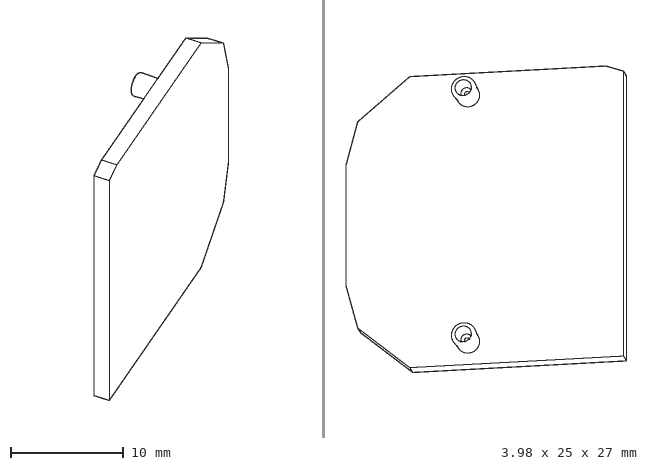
import cadquery as cq

plate_thickness = 1.5
width = 25.0
height = 27.0

bevel_length = 5.75
bevel_inset = 1.05
bevel_mid_drop = 3.95
bevel_end_drop = 7.9

corner_length = 1.6
corner_drop = 0.57

pin_length = 2.48
pin_y = 13.99
pin_edge_distance = 2.08
pin_base_radius = 1.03
pin_tip_radius = 1.1
tip_round = 0.3
bore_mouth_radius = 0.73
bore_inner_radius = 0.49
bore_floor_radius = 0.22
bore_depth = 1.62
bore_cone_depth = 0.27


def make_plate():
    outline = [
        (0, 0),
        (width - bevel_length, 0),
        (width - bevel_inset, bevel_mid_drop),
        (width, bevel_end_drop),
        (width, height - bevel_end_drop),
        (width - bevel_inset, height - bevel_mid_drop),
        (width - bevel_length, height),
        (corner_length, height),
        (0, height - corner_drop),
    ]
    return cq.Workplane("YZ").polyline(outline).close().extrude(plate_thickness)


def make_pin(z):
    """Revolve a pin that widens toward its rounded, hollow tip."""
    bore_end = bore_depth - pin_length
    round_start = tip_round - pin_length
    lip_radius = pin_tip_radius - tip_round
    profile = (
        cq.Workplane("XY")
        .moveTo(0, 0)
        .lineTo(0, pin_base_radius)
        .lineTo(round_start, pin_tip_radius)
        .radiusArc((-pin_length, lip_radius), -tip_round)
        .lineTo(-pin_length, bore_mouth_radius)
        .lineTo(bore_end, bore_inner_radius)
        .lineTo(bore_end + bore_cone_depth, bore_floor_radius)
        .lineTo(bore_end + bore_cone_depth, 0)
        .close()
    )
    pin = profile.revolve(360, (0, 0, 0), (1, 0, 0))
    return pin.translate((0, pin_y, z))


result = make_plate()
for pin_z in (pin_edge_distance, height - pin_edge_distance):
    result = result.union(make_pin(pin_z))